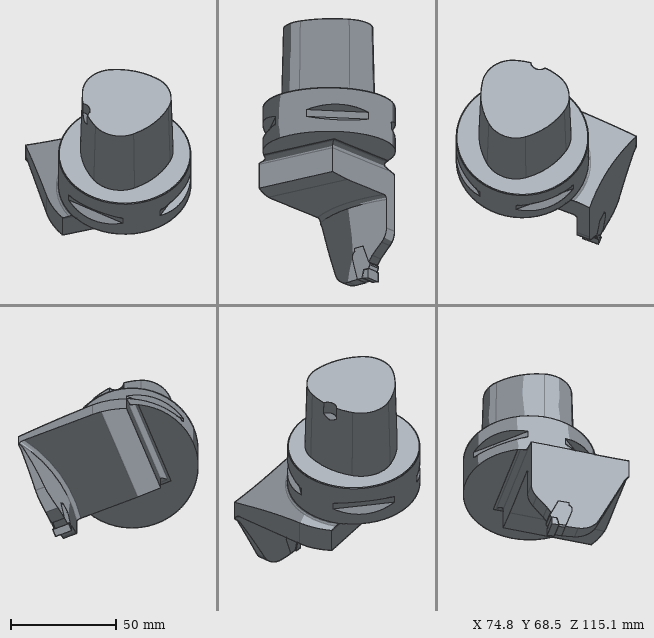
import cadquery as cq
import math


shank_length = 38.0
shank_broad_radius = 35.4
shank_lobe_radius = 15.5
shank_lobe_reach = 23.3
shank_taper = 1 / 40
shank_lobe_angles = (90, 210, 330)

notch_radius = 4.3
notch_axis_y = -21.6
notch_depth = 6.5
notch_tip_depth = 3.3

flange_radius = 63 / 2
flange_height = 22.0
flange_chamfer = 0.4

slot_count = 4
first_slot_angle = 45.0
slot_floor_distance = 27.8
slot_floor_height = 3.4
slot_mouth_height = 7.8
slot_centre_z = -12.3

front_y = -37.0
back_y = 10.0
wall_x = 10.7
front_flat_end_x = -5.4
front_bend_radius = 38.6
block_bottom_z = -37.6
bevel_start_x = -1.0
bevel_angle = 4.5
wall_fillet = 2.8
plate_thickness = 0.2

roof_angle = 15.0
roof_z_at_flange = -23.3
roof_fillet = 1.3

min_x = -43.34
outer_radius = 140.0
inner_radius = 66.0
inner_apex_x = -31.4
blade_root_fillet = 2.0
blade_bottom_z = -76.4
heel_slope_angle = 65.9
heel_y = -20.0
heel_radius = 10.8
heel_root_radius = 10.0
nose_corner_z = -57.7
nose_radius = 9.8
nose_points = [(2.1, -66.2), (0.1, -69.1), (-3.0, blade_bottom_z)]

tip_z = -77.1
insert_top_z = -60.5
insert_heel = (-6.9, blade_bottom_z)
insert_outline = [
    nose_points[1], (-3.4, insert_top_z), (-8.7, insert_top_z), (-8.7, -62.0), (-10.0, -63.3),
    (-10.0, -66.0), insert_heel, (0.0, blade_bottom_z), (0.0, -72.3), (0.7, -70.6), (0.7, -69.8),
]
insert_bottom_chamfer = 0.8
edge_outer_x = -39.1
edge_inner_x = -30.9
edge_outline = [(0.0, -72.5), (-2.6, -72.5), (-3.6, -76.6), (0.0, tip_z)]

reach = 60.0
deep_z = -90.0
overrun = 1.0


def arc_sag(radius, half_chord):
    return radius - math.sqrt(radius ** 2 - half_chord ** 2)


outer_apex_x = min_x + arc_sag(outer_radius, front_y)


def outer_x(y):
    return outer_apex_x - arc_sag(outer_radius, y)


def inner_x(y):
    return inner_apex_x - arc_sag(inner_radius, y)


def polar(radius, degrees):
    return cq.Vector(radius * math.cos(math.radians(degrees)), radius * math.sin(math.radians(degrees)), 0)


def shank_wire(z, inset):
    """Closed outline of six tangent arcs at height z, moved inwards by inset."""
    lobe_offset = shank_lobe_reach - shank_lobe_radius
    radius_gap = shank_broad_radius - shank_lobe_radius
    broad_offset = (math.sqrt(4 * radius_gap ** 2 - 3 * lobe_offset ** 2) - lobe_offset) / 2
    broad_half_angle = math.degrees(math.asin(lobe_offset * math.sin(math.radians(120)) / radius_gap))
    lobe_half_angle = 60 - broad_half_angle
    lift = cq.Vector(0, 0, z)
    edges = []

    def add_arc(centre, radius, middle, half_angle):
        points = [centre + polar(radius - inset, middle + step * half_angle) + lift for step in (-1, 0, 1)]
        edges.append(cq.Edge.makeThreePointArc(*points))

    for angle in shank_lobe_angles:
        add_arc(polar(lobe_offset, angle), shank_lobe_radius, angle, lobe_half_angle)
        add_arc(polar(broad_offset, angle - 120), shank_broad_radius, angle + 60, broad_half_angle)
    return cq.Wire.assembleEdges(edges)


def make_shank():
    foot = shank_wire(0, 0)
    end = shank_wire(shank_length, shank_length * shank_taper)
    shank = cq.Workplane(cq.Solid.makeLoft([foot, end], True))
    notch = (
        cq.Workplane("XZ", origin=(0, notch_axis_y, 0))
        .moveTo(0, shank_length)
        .lineTo(notch_radius, shank_length)
        .lineTo(notch_radius, shank_length - notch_depth)
        .lineTo(0, shank_length - notch_depth - notch_tip_depth)
        .close()
        .revolve(360, (0, 0), (0, 1))
    )
    return shank.cut(notch)


def make_flange():
    flange = cq.Workplane().circle(flange_radius).extrude(-flange_height).faces(">Z").chamfer(flange_chamfer)
    mouth_rise = (slot_mouth_height - slot_floor_height) / 2
    side_slope = mouth_rise / (flange_radius - slot_floor_distance)
    slot_end = flange_radius + overrun
    end_half_height = slot_floor_height / 2 + side_slope * (slot_end - slot_floor_distance)
    slot = (
        cq.Workplane("XZ")
        .polyline([
            (slot_floor_distance, slot_centre_z - slot_floor_height / 2),
            (slot_floor_distance, slot_centre_z + slot_floor_height / 2),
            (slot_end, slot_centre_z + end_half_height),
            (slot_end, slot_centre_z - end_half_height),
        ])
        .close()
        .extrude(flange_radius, both=True)
    )
    for index in range(slot_count):
        flange = flange.cut(slot.rotate((0, 0, 0), (0, 0, 1), first_slot_angle + index * 360 / slot_count))
    return flange


def plan_prism(margin, bottom_z):
    """Head outline seen along Z, its back and side walls moved outwards by margin."""
    back = back_y + margin
    side = wall_x + margin
    middle_y = (back + front_y) / 2
    bend_centre_y = front_y + front_bend_radius

    def bend_y(x):
        return bend_centre_y - math.sqrt(front_bend_radius ** 2 - (x - front_flat_end_x) ** 2)

    bend_middle_x = (front_flat_end_x + side) / 2
    return (
        cq.Workplane(origin=(0, 0, -flange_height))
        .moveTo(side, back)
        .lineTo(outer_x(back), back)
        .threePointArc((outer_x(middle_y), middle_y), (min_x, front_y))
        .lineTo(front_flat_end_x, front_y)
        .threePointArc((bend_middle_x, bend_y(bend_middle_x)), (side, bend_y(side)))
        .close()
        .extrude(bottom_z + flange_height)
    )


def roof_envelope():
    """Everything below the conical roof, with the roof blended into the flange side."""
    slope = math.radians(roof_angle)
    tangent_length = roof_fillet * math.tan((math.pi / 2 - slope) / 2)
    centre_r = flange_radius + roof_fillet
    centre_z = roof_z_at_flange + tangent_length
    middle_angle = (math.pi + 3 * math.pi / 2 - slope) / 2
    blend_middle = (
        centre_r + roof_fillet * math.cos(middle_angle),
        centre_z + roof_fillet * math.sin(middle_angle),
    )
    blend_end = (
        flange_radius + tangent_length * math.cos(slope),
        roof_z_at_flange - tangent_length * math.sin(slope),
    )
    return (
        cq.Workplane("XZ")
        .moveTo(0, -flange_height)
        .lineTo(flange_radius, -flange_height)
        .lineTo(flange_radius, centre_z)
        .threePointArc(blend_middle, blend_end)
        .lineTo(reach, roof_z_at_flange - (reach - flange_radius) * math.tan(slope))
        .lineTo(reach, deep_z)
        .lineTo(0, deep_z)
        .close()
        .revolve(360, (0, 0), (0, 1))
    )


def head_stock():
    """Head outline down to the blade bottom, its walls filleted into the flange underside."""
    plate = plan_prism(wall_fillet + overrun, -flange_height - plate_thickness)
    stock = plate.union(plan_prism(0, blade_bottom_z))
    root_z = -flange_height - plate_thickness
    back_edge = cq.selectors.NearestToPointSelector(((outer_apex_x + wall_x) / 2, back_y, root_z))
    side_edge = cq.selectors.NearestToPointSelector((wall_x, (front_y + back_y) / 2, root_z))
    return stock.edges(cq.selectors.SumSelector(back_edge, side_edge)).fillet(wall_fillet - plate_thickness)


def blade_clearance():
    """Space under the block, on the hollow side of the blade."""
    near_y = front_y - overrun
    far_y = back_y + overrun
    space = (
        cq.Workplane(origin=(0, 0, deep_z))
        .moveTo(inner_x(near_y), near_y)
        .threePointArc((inner_apex_x, 0), (inner_x(far_y), far_y))
        .lineTo(reach, far_y)
        .lineTo(reach, near_y)
        .close()
        .extrude(block_bottom_z - deep_z)
        .faces(">Z")
        .edges("<X")
        .fillet(blade_root_fillet)
    )
    bevel_length = reach - bevel_start_x
    bevel_rise = bevel_length * math.tan(math.radians(bevel_angle))
    bevel = (
        cq.Workplane("XZ", origin=(0, far_y, 0))
        .polyline([
            (bevel_start_x, block_bottom_z),
            (reach, block_bottom_z + bevel_rise),
            (reach, block_bottom_z),
        ])
        .close()
        .extrude(far_y - near_y)
    )
    return space.union(bevel)


def side_profile():
    """Head silhouette in the YZ plane, as a bar along X."""
    root_y = heel_y - (block_bottom_z - blade_bottom_z) / math.tan(math.radians(heel_slope_angle))
    wall_fillet_end_z = -flange_height - wall_fillet - overrun
    profile = (
        cq.Workplane("YZ", origin=(-reach, 0, 0))
        .polyline([
            (reach, 0),
            (-reach, 0),
            (-reach, block_bottom_z),
            (root_y, block_bottom_z),
            (heel_y, blade_bottom_z),
            *reversed(nose_points),
            (back_y, nose_corner_z),
            (back_y, wall_fillet_end_z),
            (reach, wall_fillet_end_z),
        ])
        .close()
        .extrude(2 * reach)
    )
    rounds = [
        (root_y, block_bottom_z, heel_root_radius),
        (heel_y, blade_bottom_z, heel_radius),
        (back_y, nose_corner_z, nose_radius),
    ]
    for y, z, radius in rounds:
        profile = profile.edges(cq.selectors.NearestToPointSelector((0, y, z))).fillet(radius)
    return profile


def bar_along_x(outline, start_x, end_x):
    return cq.Workplane("YZ", origin=(start_x, 0, 0)).polyline(outline).close().extrude(end_x - start_x)


def make_insert_blank():
    """Insert flush with both curved faces of the blade, plus the wider cutting edge."""
    blade_section = (
        cq.Workplane(origin=(0, 0, deep_z))
        .moveTo(outer_x(front_y), front_y)
        .threePointArc((outer_apex_x, 0), (outer_x(back_y), back_y))
        .lineTo(inner_x(back_y), back_y)
        .threePointArc((inner_apex_x, 0), (inner_x(front_y), front_y))
        .close()
        .extrude(-deep_z)
    )
    body = bar_along_x(insert_outline, min_x, 0).intersect(blade_section)
    edge = bar_along_x(edge_outline, edge_outer_x, edge_inner_x)
    return body.union(edge)


def make_holder(insert_blank):
    head = head_stock().intersect(roof_envelope()).cut(blade_clearance()).intersect(side_profile())
    return make_flange().union(make_shank()).union(head).cut(insert_blank)


def make_insert(blank):
    """Bottom edge behind the cutting edge is chamfered on the outer side."""
    start_y = edge_outline[2][0]
    chamfer_x = outer_x(insert_heel[0])
    outside_x = chamfer_x - overrun
    above_z = blade_bottom_z + insert_bottom_chamfer + overrun
    inside_x = chamfer_x + insert_bottom_chamfer + overrun
    below_z = blade_bottom_z - overrun
    relief = (
        cq.Workplane("XZ", origin=(0, start_y, 0))
        .polyline([(outside_x, above_z), (inside_x, below_z), (outside_x, below_z)])
        .close()
        .extrude(start_y - front_y)
    )
    return blank.cut(relief)


insert_blank = make_insert_blank()
holder = make_holder(insert_blank)
insert = make_insert(insert_blank)

result = cq.Compound.makeCompound([holder.val(), insert.val()])